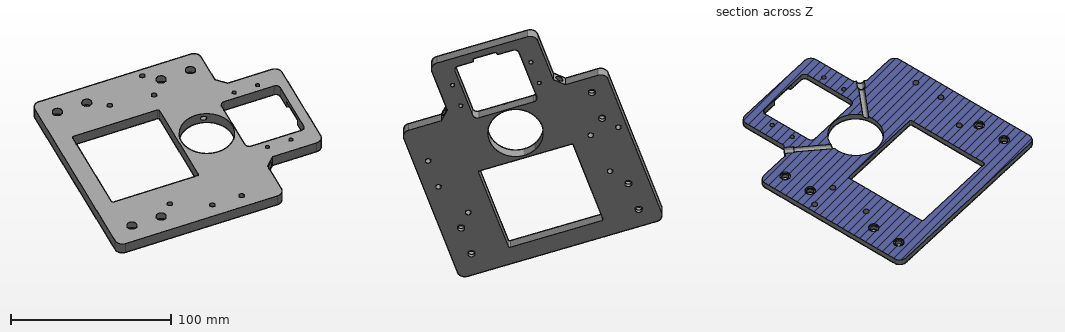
import cadquery as cq
import math

THICKNESS = 8.0
BODY_WIDTH = 135.0
BODY_LENGTH = 113.5
TAB_WIDTH = 70.0
TOTAL_LENGTH = 154.5
CORNER_RADIUS = 5.0
GUSSET_LEG = 6.0

TAB_WINDOW_WIDTH = 42.2
TAB_WINDOW_LENGTH = 40.0
TAB_WINDOW_BOTTOM = 108.0
TAB_WINDOW_RADIUS = 3.0
BODY_WINDOW_WIDTH = 62.4
BODY_WINDOW_LENGTH = 59.2
BODY_WINDOW_BOTTOM = 11.7
BODY_WINDOW_RADIUS = 1.0
BORE_DIAMETER = 34.6
BORE_Y = 90.0

TAB_HOLE_DIAMETER = 2.5
TAB_HOLE_PITCH_X = 51.8
TAB_HOLE_PITCH_Y = 16.0
TAB_HOLE_LOWER_Y = 120.0

PLAIN_HOLE_DIAMETER = 3.4
PLAIN_HOLES = [
    (-62.2, 73.2), (-43.95, 73.2),
    (-46.8, 44.3), (46.8, 44.3),
    (58.3, 68.2), (58.3, 88.2),
]

COUNTERBORE_DIAMETER = 6.3
COUNTERBORE_DEPTH = 5.0
STEPPED_HOLE_DIAMETER = 4.4
STEPPED_HOLE_PITCH = 20.0
STEPPED_HOLE_X = 54.7
STEPPED_PAIRS = [
    (-STEPPED_HOLE_X, 12.0),
    (-STEPPED_HOLE_X, 82.7),
    (STEPPED_HOLE_X, 14.9),
]

CROSS_HOLE_DIAMETER = 3.4
CROSS_ENTRY_DIAMETER = 4.7
CROSS_ENTRY_DEPTH = 6.0

RECESS_WIDTH = 15.5
RECESS_HEIGHT = 4.0
RECESS_RADIUS = 1.0
RECESS_DEPTH = 2 * RECESS_RADIUS


def make_plate():
    half_tab = TAB_WIDTH / 2
    body = (
        cq.Workplane("XY")
        .rect(BODY_WIDTH, BODY_LENGTH)
        .extrude(THICKNESS)
        .translate((0, BODY_LENGTH / 2, 0))
        .edges("|Z")
        .fillet(CORNER_RADIUS)
    )
    tab_length = TOTAL_LENGTH - BODY_LENGTH / 2
    tab = (
        cq.Workplane("XY")
        .rect(TAB_WIDTH, tab_length)
        .extrude(THICKNESS)
        .translate((0, TOTAL_LENGTH - tab_length / 2, 0))
        .edges("|Z and >Y")
        .fillet(CORNER_RADIUS)
    )
    gussets = (
        cq.Workplane("XY")
        .polyline([
            (-half_tab - GUSSET_LEG, BODY_LENGTH),
            (half_tab + GUSSET_LEG, BODY_LENGTH),
            (half_tab, BODY_LENGTH + GUSSET_LEG),
            (-half_tab, BODY_LENGTH + GUSSET_LEG),
        ])
        .close()
        .extrude(THICKNESS)
    )
    return body.union(tab).union(gussets)


def window(width, length, bottom_y, radius):
    return (
        cq.Workplane("XY")
        .rect(width, length)
        .extrude(THICKNESS)
        .translate((0, bottom_y + length / 2, 0))
        .edges("|Z")
        .fillet(radius)
    )


def round_holes(points, diameter, bottom_z=0.0):
    return (
        cq.Workplane("XY", origin=(0, 0, bottom_z))
        .pushPoints(points)
        .circle(diameter / 2)
        .extrude(THICKNESS - bottom_z)
    )


def cross_hole(side):
    start = cq.Vector(
        side * (TAB_WIDTH + GUSSET_LEG) / 2,
        BODY_LENGTH + GUSSET_LEG / 2,
        THICKNESS / 2,
    )
    inward = cq.Vector(-side, -1, 0)
    length = (start.y - BORE_Y) * math.sqrt(2)
    passage = cq.Solid.makeCylinder(CROSS_HOLE_DIAMETER / 2, length, start, inward)
    entry = cq.Solid.makeCylinder(CROSS_ENTRY_DIAMETER / 2, CROSS_ENTRY_DEPTH, start, inward)
    return cq.Workplane(passage).union(cq.Workplane(entry))


def window_recess():
    r = RECESS_RADIUS
    wall_y = TAB_WINDOW_BOTTOM + TAB_WINDOW_LENGTH
    mid_y = wall_y + r
    back_y = wall_y + RECESS_DEPTH
    half = RECESS_WIDTH / 2
    mouth = half + r
    diagonal = r * math.sqrt(0.5)
    return (
        cq.Workplane("XY")
        .moveTo(-mouth, wall_y)
        .threePointArc((-mouth + diagonal, mid_y - diagonal), (-half, mid_y))
        .threePointArc((-half + r - diagonal, mid_y + diagonal), (-half + r, back_y))
        .lineTo(half - r, back_y)
        .threePointArc((half - r + diagonal, mid_y + diagonal), (half, mid_y))
        .threePointArc((mouth - diagonal, mid_y - diagonal), (mouth, wall_y))
        .close()
        .extrude(RECESS_HEIGHT)
    )


stepped_holes = [(x, y + i * STEPPED_HOLE_PITCH) for x, y in STEPPED_PAIRS for i in (0, 1)]
tab_holes = [
    (side * TAB_HOLE_PITCH_X / 2, TAB_HOLE_LOWER_Y + i * TAB_HOLE_PITCH_Y)
    for side in (-1, 1)
    for i in (0, 1)
]

result = make_plate()
result = result.cut(window(TAB_WINDOW_WIDTH, TAB_WINDOW_LENGTH, TAB_WINDOW_BOTTOM, TAB_WINDOW_RADIUS))
result = result.cut(window(BODY_WINDOW_WIDTH, BODY_WINDOW_LENGTH, BODY_WINDOW_BOTTOM, BODY_WINDOW_RADIUS))
result = result.cut(round_holes([(0, BORE_Y)], BORE_DIAMETER))
result = result.cut(round_holes(tab_holes, TAB_HOLE_DIAMETER))
result = result.cut(round_holes(PLAIN_HOLES, PLAIN_HOLE_DIAMETER))
result = result.cut(round_holes(stepped_holes, STEPPED_HOLE_DIAMETER))
result = result.cut(round_holes(stepped_holes, COUNTERBORE_DIAMETER, THICKNESS - COUNTERBORE_DEPTH))
result = result.cut(window_recess())
for side in (-1, 1):
    result = result.cut(cross_hole(side))